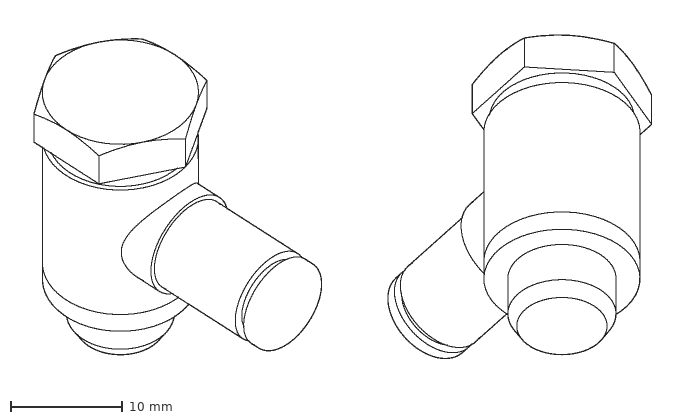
import cadquery as cq
import math

hex_across_flats = 14.0
hex_height = 4.0
hex_chamfer_angle = 30.0
collar_diameter = 13.0
collar_height = 1.52
shank_diameter = 9.72
tip_height = 1.4
tip_angle = 30.0

housing_diameter = 14.0
ring_bottom = 5.5
ring_height = 2.0
housing_height = 15.0
boss_diameter = 10.0

sleeve_diameter = 9.1
neck_diameter = 7.4
button_diameter = 9.0
button_face_diameter = 7.3
button_cone_angle = 18.0
button_round = 0.45
boss_end = 8.58
sleeve_length = 10.05
neck_length = 1.0
button_length = 1.5

housing_bottom = ring_bottom + ring_height
housing_top = housing_bottom + housing_height
branch_height = housing_bottom + housing_height / 2
hex_bottom = housing_top + collar_height
hex_top = hex_bottom + hex_height
hex_corner_radius = hex_across_flats / math.sqrt(3)
tip_radius = shank_diameter / 2 - tip_height * math.tan(math.radians(tip_angle))
sleeve_end = boss_end + sleeve_length
neck_end = sleeve_end + neck_length


def upright_cylinder(diameter, bottom, height):
    return cq.Workplane("XY").workplane(offset=bottom).circle(diameter / 2).extrude(height)


def branch_cylinder(diameter, start, length):
    plane = cq.Plane(origin=(start, 0, branch_height), xDir=(0, 1, 0), normal=(1, 0, 0))
    return cq.Workplane(plane).circle(diameter / 2).extrude(length)


def make_hex_head():
    prism = (
        cq.Workplane("XY")
        .workplane(offset=hex_bottom)
        .polygon(6, 2 * hex_corner_radius)
        .extrude(hex_height)
    )
    flat_radius = hex_across_flats / 2
    corner_drop = (hex_corner_radius - flat_radius) * math.tan(math.radians(hex_chamfer_angle))
    turned_blank = (
        cq.Workplane("XZ")
        .moveTo(0, hex_bottom)
        .lineTo(hex_corner_radius, hex_bottom)
        .lineTo(hex_corner_radius, hex_top - corner_drop)
        .lineTo(flat_radius, hex_top)
        .lineTo(0, hex_top)
        .close()
        .revolve(360, (0, 0, 0), (0, 1, 0))
    )
    return prism.intersect(turned_blank)


def make_bolt():
    shank_radius = shank_diameter / 2
    collar_radius = collar_diameter / 2
    stem = (
        cq.Workplane("XZ")
        .moveTo(0, 0)
        .lineTo(tip_radius, 0)
        .lineTo(shank_radius, tip_height)
        .lineTo(shank_radius, housing_top)
        .lineTo(collar_radius, housing_top)
        .lineTo(collar_radius, hex_bottom)
        .lineTo(0, hex_bottom)
        .close()
        .revolve(360, (0, 0, 0), (0, 1, 0))
    )
    return stem.union(make_hex_head())


def make_housing():
    barrel = upright_cylinder(housing_diameter, housing_bottom, housing_height)
    boss = branch_cylinder(boss_diameter, 0, boss_end)
    bore = upright_cylinder(shank_diameter, housing_bottom, housing_height)
    return barrel.union(boss).cut(bore)


def make_sealing_ring():
    disc = upright_cylinder(housing_diameter, ring_bottom, ring_height)
    return disc.cut(upright_cylinder(shank_diameter, ring_bottom, ring_height))


def make_sleeve():
    return branch_cylinder(sleeve_diameter, boss_end, sleeve_length)


def make_release_button():
    neck = branch_cylinder(neck_diameter, sleeve_end, neck_length)
    head_radius = button_diameter / 2
    face_radius = button_face_diameter / 2
    cone_depth = (head_radius - face_radius) * math.tan(math.radians(button_cone_angle))
    rim_length = button_length - cone_depth
    head = (
        cq.Workplane("XY", origin=(neck_end, 0, branch_height))
        .lineTo(0, head_radius)
        .lineTo(rim_length, head_radius)
        .lineTo(button_length, face_radius)
        .lineTo(button_length, 0)
        .close()
        .revolve(360, (0, 0, 0), (1, 0, 0))
    )
    rim = head.edges("%CIRCLE").edges(">>X[-2]")
    return neck.union(rim.fillet(button_round))


bolt = make_bolt()
housing = make_housing()
sealing_ring = make_sealing_ring()
sleeve = make_sleeve()
release_button = make_release_button()

result = cq.Compound.makeCompound([
    bolt.val(),
    housing.val(),
    sealing_ring.val(),
    sleeve.val(),
    release_button.val(),
])